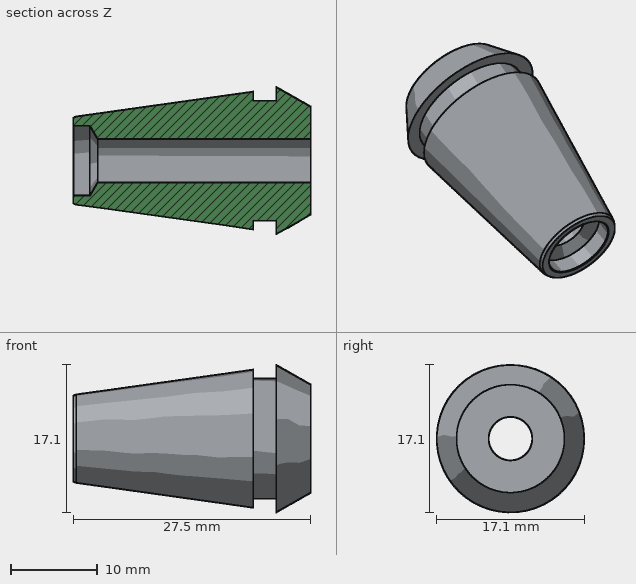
import cadquery as cq
import math

total_length = 27.5
edge_break_length = 0.35
taper_end = 20.85
groove_end = 23.45

flange_diameter = 17.08
flange_radius = flange_diameter / 2
taper_large_radius = 8.0
groove_radius = 6.95
rear_face_radius = 6.25
small_face_radius = 4.95

taper_half_angle = math.radians(8)
taper_length = taper_end - edge_break_length
taper_small_radius = taper_large_radius - taper_length * math.tan(taper_half_angle)

hole_radius = 2.5
counterbore_radius = 4.02
mouth_chamfer = 0.08
counterbore_depth = 1.95
cone_half_angle = math.radians(60)
cone_length = (counterbore_radius - hole_radius) / math.tan(cone_half_angle)
cone_end = counterbore_depth + cone_length


def revolve_about_x(profile):
    """Turn a closed half profile of (x, radius) points about the X axis."""
    return cq.Workplane("XY").polyline(profile).close().revolve(360, (0, 0, 0), (1, 0, 0))


body = revolve_about_x([
    (0, 0),
    (0, small_face_radius),
    (edge_break_length, taper_small_radius),
    (taper_end, taper_large_radius),
    (taper_end, groove_radius),
    (groove_end, groove_radius),
    (groove_end, flange_radius),
    (total_length, rear_face_radius),
    (total_length, 0),
])

bore = revolve_about_x([
    (0, 0),
    (0, counterbore_radius + mouth_chamfer),
    (mouth_chamfer, counterbore_radius),
    (counterbore_depth, counterbore_radius),
    (cone_end, hole_radius),
    (total_length, hole_radius),
    (total_length, 0),
])

result = body.cut(bore)